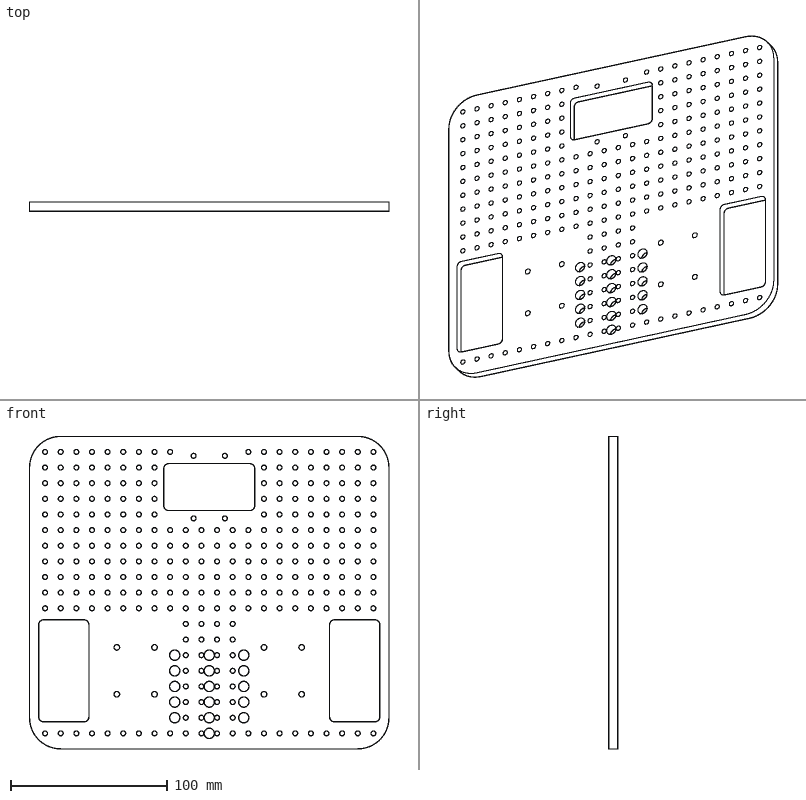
import cadquery as cq

LENGTH = 230.0
THICKNESS = 6.0
PITCH_COUNT_X = 23
PITCH_COUNT_Z = 20
PITCH = LENGTH / PITCH_COUNT_X
HEIGHT = PITCH_COUNT_Z * PITCH
CORNER_RADIUS = 2 * PITCH

WINDOW_CORNER_RADIUS = 3.0
SIDE_WINDOW_WIDTH = 32.0
SIDE_WINDOW_HEIGHT = 65.0
SIDE_WINDOW_MARGIN = 6.0
SIDE_WINDOW_X = LENGTH / 2 - SIDE_WINDOW_MARGIN - SIDE_WINDOW_WIDTH / 2
SIDE_WINDOW_Z = 5 * PITCH
TOP_WINDOW_WIDTH = 58.0
TOP_WINDOW_HEIGHT = 30.0
TOP_WINDOW_Z = 16.75 * PITCH

GRID_DIAMETER = 3.0
MOUNT_DIAMETER = 3.5
LARGE_DIAMETER = 6.5
LARGE_COLUMN_X = 22.0
MOUNT_INNER_X = 3.5 * PITCH
MOUNT_OUTER_X = 59.0
MOUNT_LOWER_Z = 3.5 * PITCH
MOUNT_UPPER_Z = 6.5 * PITCH
TOP_HOLE_X = PITCH
TOP_HOLE_RISE = 2 * PITCH

FIRST_COLUMN = 1
NARROW_LAST_COLUMN = 3
WINDOW_SIDE_COLUMN = 7
TOP_ROW_COLUMN = 5
LAST_COLUMN = PITCH_COUNT_X - 2

BOTTOM_LEVEL = 1
NARROW_LEVELS = range(2, 9)
FULL_LEVELS = range(9, 15)
WINDOW_LEVELS = range(15, 19)
TOP_LEVEL = PITCH_COUNT_Z - 1
LARGE_LEVELS = range(2, 7)


def row(level, inner, outer):
    """Mirrored row of grid points from the inner to the outer column."""
    return [
        (side * column * PITCH / 2, level * PITCH)
        for column in range(inner, outer + 1, 2)
        for side in (-1, 1)
    ]


def grid_points():
    """Grid rows, leaving room for the windows and the mounting holes."""
    points = row(BOTTOM_LEVEL, FIRST_COLUMN, LAST_COLUMN)
    for level in NARROW_LEVELS:
        points += row(level, FIRST_COLUMN, NARROW_LAST_COLUMN)
    for level in FULL_LEVELS:
        points += row(level, FIRST_COLUMN, LAST_COLUMN)
    for level in WINDOW_LEVELS:
        points += row(level, WINDOW_SIDE_COLUMN, LAST_COLUMN)
    points += row(TOP_LEVEL, TOP_ROW_COLUMN, LAST_COLUMN)
    return points


def large_points():
    """Three columns of large holes, the middle one with an extra hole in the bottom row."""
    points = [(0, BOTTOM_LEVEL * PITCH)]
    for level in LARGE_LEVELS:
        points += [(side * LARGE_COLUMN_X, level * PITCH) for side in (-1, 0, 1)]
    return points


def mount_points():
    """Four mounting holes on each side of the large holes."""
    return [
        (side * x, z)
        for side in (-1, 1)
        for x in (MOUNT_INNER_X, MOUNT_OUTER_X)
        for z in (MOUNT_LOWER_Z, MOUNT_UPPER_Z)
    ]


def top_window_points():
    """Two holes above and two below the top window."""
    return [
        (x_side * TOP_HOLE_X, TOP_WINDOW_Z + z_side * TOP_HOLE_RISE)
        for x_side in (-1, 1)
        for z_side in (-1, 1)
    ]


def block(width, height, x, z, corner_radius):
    """Rounded block through the plate thickness, centred at (x, z)."""
    return (
        cq.Workplane("XY")
        .box(width, THICKNESS, height)
        .edges("|Y")
        .fillet(corner_radius)
        .translate((x, 0, z))
    )


def drill(plate, points, diameter):
    """Cut through holes at (x, z) points."""
    return (
        plate.faces("<Y")
        .workplane(origin=(0, 0, 0))
        .pushPoints(points)
        .hole(diameter)
    )


result = block(LENGTH, HEIGHT, 0, HEIGHT / 2, CORNER_RADIUS)

result = result.cut(
    block(TOP_WINDOW_WIDTH, TOP_WINDOW_HEIGHT, 0, TOP_WINDOW_Z, WINDOW_CORNER_RADIUS)
)
for side in (-1, 1):
    result = result.cut(
        block(
            SIDE_WINDOW_WIDTH,
            SIDE_WINDOW_HEIGHT,
            side * SIDE_WINDOW_X,
            SIDE_WINDOW_Z,
            WINDOW_CORNER_RADIUS,
        )
    )

result = drill(result, grid_points() + top_window_points(), GRID_DIAMETER)
result = drill(result, mount_points(), MOUNT_DIAMETER)
result = drill(result, large_points(), LARGE_DIAMETER)